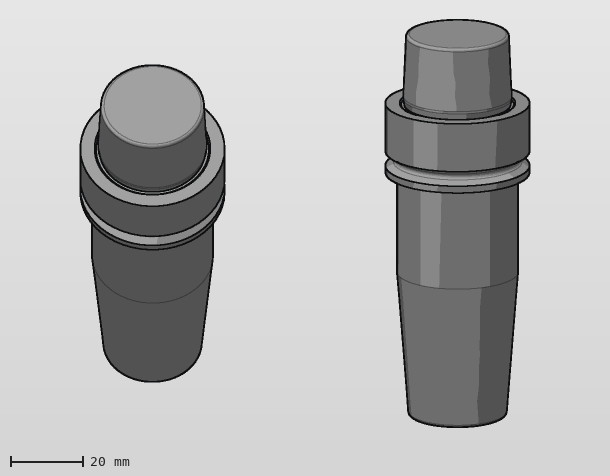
import math

import cadquery as cq

total_height = 109.9
body_radius = 16.8
nose_height = 41.2
nose_tip_radius = 13.6
nose_tip_fillet = 1.0

flange_radius = 20.0
flange_thickness = 20.0
flange_top = 89.9
flange_bottom = flange_top - flange_thickness
groove_center_height = 74.0
groove_half_width = 2.1
groove_half_angle = math.radians(30)
groove_root_radius = 1.0

shank_top_radius = 14.3
shank_top_fillet = 0.9
shank_base_radius = 15.1
shank_base_height = 92.0
shank_land_height = 91.3
relief_neck_radius = 14.7
relief_outer_radius = 16.0
relief_depth = 0.4
relief_floor = flange_top - relief_depth

groove_apex_radius = flange_radius - groove_half_width / math.tan(groove_half_angle)
root_half_height = groove_root_radius * math.cos(groove_half_angle)
root_end_radius = groove_apex_radius + root_half_height / math.tan(groove_half_angle)
root_floor_radius = groove_apex_radius + groove_root_radius / math.sin(groove_half_angle) - groove_root_radius


def make_profile():
    """Half section of the revolved body, with radius along X and height along Z."""
    return (
        cq.Workplane("XZ")
        .lineTo(nose_tip_radius, 0)
        .lineTo(body_radius, nose_height)
        .lineTo(body_radius, flange_bottom)
        .lineTo(flange_radius, flange_bottom)
        .lineTo(flange_radius, groove_center_height - groove_half_width)
        .lineTo(root_end_radius, groove_center_height - root_half_height)
        .threePointArc(
            (root_floor_radius, groove_center_height),
            (root_end_radius, groove_center_height + root_half_height),
        )
        .lineTo(flange_radius, groove_center_height + groove_half_width)
        .lineTo(flange_radius, flange_top)
        .lineTo(relief_outer_radius, flange_top)
        .lineTo(relief_outer_radius - relief_depth, relief_floor)
        .lineTo(relief_neck_radius, relief_floor)
        .lineTo(shank_base_radius, shank_land_height)
        .lineTo(shank_base_radius, shank_base_height)
        .lineTo(shank_top_radius, total_height)
        .lineTo(0, total_height)
        .close()
    )


body = make_profile().revolve(360, (0, 0, 0), (0, 1, 0))
body = body.faces("<Z").edges().fillet(nose_tip_fillet)
result = body.faces(">Z").edges().fillet(shank_top_fillet)